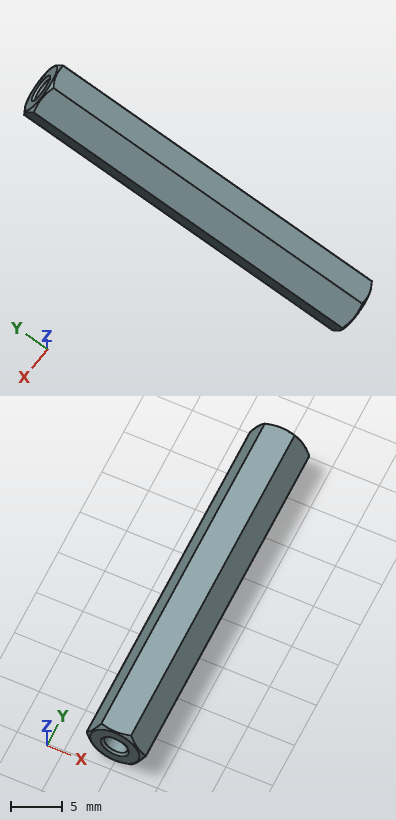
import cadquery as cq
import math

length = 38.0
across_flats = 5.5
across_corners = across_flats / math.cos(math.radians(30))

end_face_diameter = 5.25
corner_chamfer_angle = 30.0

bore_diameter = 2.5
mouth_diameter = 3.0
countersink_depth = (mouth_diameter - bore_diameter) / 2
bore_depth = 10.0
drill_tip_angle = 118.0


def revolve_about_y(points):
    """Revolve a closed (radius, y) profile around the Y axis."""
    return cq.Workplane("XY").polyline(points).close().revolve(360, (0, 0, 0), (0, 1, 0))


def hex_bar():
    bar = cq.Workplane("XZ").polygon(6, across_corners).extrude(length / 2, both=True)
    corner_radius = across_corners / 2
    face_radius = end_face_diameter / 2
    chamfer_length = (corner_radius - face_radius) * math.tan(math.radians(corner_chamfer_angle))
    end_y = length / 2
    shoulder_y = end_y - chamfer_length
    envelope = revolve_about_y([
        (0, -end_y),
        (face_radius, -end_y),
        (corner_radius, -shoulder_y),
        (corner_radius, shoulder_y),
        (face_radius, end_y),
        (0, end_y),
    ])
    return bar.intersect(envelope)


def front_bore():
    """Solid filling the bore that opens on the -Y end."""
    mouth_y = -length / 2
    bore_radius = bore_diameter / 2
    tip_length = bore_radius / math.tan(math.radians(drill_tip_angle / 2))
    return revolve_about_y([
        (0, mouth_y),
        (mouth_diameter / 2, mouth_y),
        (bore_radius, mouth_y + countersink_depth),
        (bore_radius, mouth_y + bore_depth),
        (0, mouth_y + bore_depth + tip_length),
    ])


bore = front_bore()
result = hex_bar().cut(bore).cut(bore.mirror("XZ"))